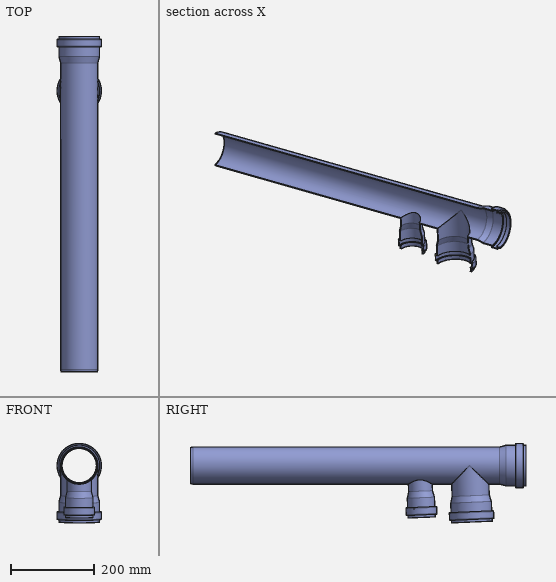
import cadquery as cq
import math

MAIN_BORE = 82.0
MAIN_OD = 90.0
TOTAL_LENGTH = 806.0
SOCKET_END_Y = 136.0
SPIGOT_CHAMFER_LENGTH = 5.5
SPIGOT_CHAMFER_DEPTH = 1.5

MAIN_SOCKET_BORE = 90.5
MAIN_SOCKET_OD = 98.5
MAIN_GROOVE_DIAMETER = 99.5
MAIN_BEAD_OD = 107.1

SMALL_BORE = 50.0
SMALL_OD = 58.0
SMALL_SOCKET_BORE = 58.1
SMALL_SOCKET_OD = 66.1
SMALL_GROOVE_DIAMETER = 66.8
SMALL_BEAD_OD = 74.4

BEAD_START = 6.3
BEAD_END = 25.2
TAPER_START = 47.8
TAPER_END = 63.5
BEAD_FILLET = 2.2
GROOVE_WALL = (MAIN_BEAD_OD - MAIN_GROOVE_DIAMETER) / 2

BRANCH_TILT_DEGREES = 2.5
MAIN_BRANCH_LENGTH = 136.0
SMALL_BRANCH_LENGTH = 125.0
SMALL_BRANCH_Y = -120.0


def axis_plane(y, degrees_from_y):
    """Plane centred on the main axis at y; its normal is +Y turned toward -Z."""
    angle = math.radians(degrees_from_y)
    normal = (0, math.cos(angle), -math.sin(angle))
    return cq.Plane(origin=(0, y, 0), xDir=(1, 0, 0), normal=normal)


def revolve_about_z(half_section):
    """Solid of revolution from (radius, height) points."""
    return cq.Workplane("XZ").polyline(half_section).close().revolve(360, (0, 0, 0), (0, 1, 0))


def socket_solid(start, end, pipe_diameter, socket_diameter):
    """Round solid along Z that widens through a cone to a socket with its mouth at end."""
    pipe_radius = pipe_diameter / 2
    socket_radius = socket_diameter / 2
    return revolve_about_z([
        (0, start),
        (pipe_radius, start),
        (pipe_radius, end - TAPER_END),
        (socket_radius, end - TAPER_START),
        (socket_radius, end),
        (0, end),
    ])


def disc(low, high, diameter):
    """Disc along Z between two heights."""
    return cq.Workplane("XY").workplane(offset=low).circle(diameter / 2).extrude(high - low)


def outer_shape(start, end, pipe_od, socket_od, bead_od):
    """Outside of a pipe with a round-edged bead on its socket."""
    bead = disc(end - BEAD_END, end - BEAD_START, bead_od).edges().fillet(BEAD_FILLET)
    return socket_solid(start, end, pipe_od, socket_od).union(bead)


def inner_shape(start, end, bore, socket_bore, groove_diameter):
    """Inside of a pipe with a seal groove under the bead of its socket."""
    groove = disc(end - BEAD_END + GROOVE_WALL, end - BEAD_START - GROOVE_WALL, groove_diameter)
    return socket_solid(start, end, bore, socket_bore).union(groove)


def spigot_chamfer(start):
    """Material removed around the plain end of the main pipe."""
    radius = MAIN_OD / 2
    return revolve_about_z([
        (radius - SPIGOT_CHAMFER_DEPTH, start),
        (radius, start),
        (radius, start + SPIGOT_CHAMFER_LENGTH),
    ])


def place(shape, plane):
    """Move a shape built along Z so that its axis follows the plane's normal."""
    return cq.Workplane(obj=shape.val().moved(cq.Location(plane)))


spigot_y = SOCKET_END_Y - TOTAL_LENGTH
branch_angle = 90 - BRANCH_TILT_DEGREES
main_axis = axis_plane(0, 0)
main_branch_axis = axis_plane(0, branch_angle)
small_branch_axis = axis_plane(SMALL_BRANCH_Y, branch_angle)

main_outside = (MAIN_OD, MAIN_SOCKET_OD, MAIN_BEAD_OD)
main_inside = (MAIN_BORE, MAIN_SOCKET_BORE, MAIN_GROOVE_DIAMETER)
small_outside = (SMALL_OD, SMALL_SOCKET_OD, SMALL_BEAD_OD)
small_inside = (SMALL_BORE, SMALL_SOCKET_BORE, SMALL_GROOVE_DIAMETER)

pipes = [
    (main_axis, spigot_y, SOCKET_END_Y, main_outside, main_inside),
    (main_branch_axis, 0, MAIN_BRANCH_LENGTH, main_outside, main_inside),
    (small_branch_axis, 0, SMALL_BRANCH_LENGTH, small_outside, small_inside),
]

outside = cq.Workplane("XY")
inside = cq.Workplane("XY")
for axis, start, end, outer_diameters, inner_diameters in pipes:
    outside = outside.union(place(outer_shape(start, end, *outer_diameters), axis))
    inside = inside.union(place(inner_shape(start, end, *inner_diameters), axis))

body = outside.cut(inside).cut(place(spigot_chamfer(spigot_y), main_axis))
result = body.solids()